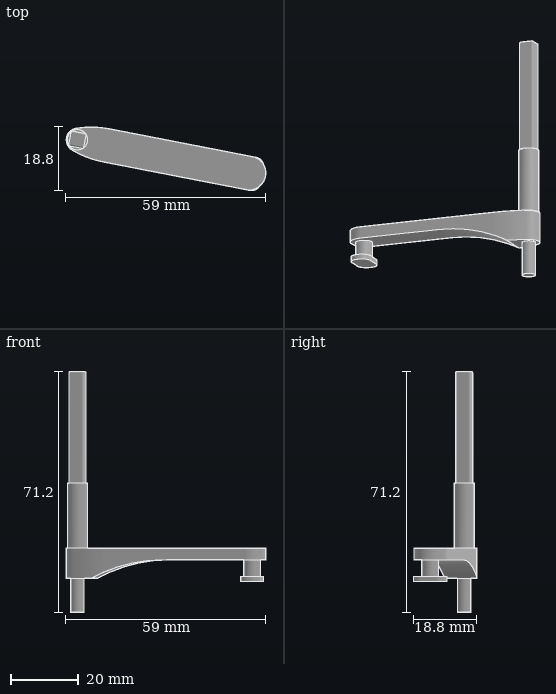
import math

import cadquery as cq

ARM_ANGLE = -11.0
ARM_WIDTH = 10.0
ARM_THICKNESS = 3.5
ARM_END_CENTRE = 51.65

HUB_DEPTH = 9.0
HUB_RADIUS = 3.5
HUB_CENTRE = 0.2
HUB_TAPER = 18.5
HUB_BLEND_RADIUS = 28.5
UNDERSIDE_RADIUS = 45.0
UNDERSIDE_END = 26.6

PIN_DIAMETER = 4.0
PIN_LENGTH = 10.0
SHAFT_DIAMETER = 6.0
SHAFT_LENGTH = 19.2
BAR_WIDTH = 4.5
BAR_LENGTH = 33.0
BAR_FILLET = 0.5

POST_CENTRE = 52.6
POST_DIAMETER = 5.0
POST_LENGTH = 4.9
FOOT_LENGTH = 6.0
FOOT_WIDTH = 10.0
FOOT_THICKNESS = 1.5
FOOT_CORNER_RADIUS = 2.75


def arm_outline():
    """Plan outline: round hub, tapered widening, blend, straight sides, round end."""
    taper = math.radians(HUB_TAPER)
    half_width = ARM_WIDTH / 2
    hub_tip = HUB_CENTRE - HUB_RADIUS
    taper_start_x = HUB_CENTRE - HUB_RADIUS * math.sin(taper)
    taper_start_y = HUB_RADIUS * math.cos(taper)
    corner_x = taper_start_x + (half_width - taper_start_y) / math.tan(taper)
    tangent_length = HUB_BLEND_RADIUS * math.tan(taper / 2)
    blend_start_x = corner_x - tangent_length * math.cos(taper)
    blend_start_y = half_width - tangent_length * math.sin(taper)
    blend_end_x = corner_x + tangent_length
    blend_mid_x = blend_end_x - HUB_BLEND_RADIUS * math.sin(taper / 2)
    blend_mid_y = half_width - HUB_BLEND_RADIUS * (1 - math.cos(taper / 2))
    return (
        cq.Workplane("XY")
        .moveTo(taper_start_x, -taper_start_y)
        .lineTo(blend_start_x, -blend_start_y)
        .threePointArc((blend_mid_x, -blend_mid_y), (blend_end_x, -half_width))
        .lineTo(ARM_END_CENTRE, -half_width)
        .threePointArc((ARM_END_CENTRE + half_width, 0), (ARM_END_CENTRE, half_width))
        .lineTo(blend_end_x, half_width)
        .threePointArc((blend_mid_x, blend_mid_y), (blend_start_x, blend_start_y))
        .lineTo(taper_start_x, taper_start_y)
        .threePointArc((hub_tip, 0), (taper_start_x, -taper_start_y))
        .close()
    )


def underside_cutter():
    """Space below the thin arm, bounded toward the hub by a concave arc."""
    arc_centre_z = -ARM_THICKNESS - UNDERSIDE_RADIUS
    rise = -HUB_DEPTH - arc_centre_z
    arc_start_x = UNDERSIDE_END - math.sqrt(UNDERSIDE_RADIUS**2 - rise**2)
    mid_angle = math.asin((UNDERSIDE_END - arc_start_x) / UNDERSIDE_RADIUS) / 2
    arc_mid = (
        UNDERSIDE_END - UNDERSIDE_RADIUS * math.sin(mid_angle),
        arc_centre_z + UNDERSIDE_RADIUS * math.cos(mid_angle),
    )
    beyond_end = ARM_END_CENTRE + ARM_WIDTH
    return (
        cq.Workplane("XZ")
        .moveTo(arc_start_x, -HUB_DEPTH)
        .threePointArc(arc_mid, (UNDERSIDE_END, -ARM_THICKNESS))
        .lineTo(beyond_end, -ARM_THICKNESS)
        .lineTo(beyond_end, -HUB_DEPTH)
        .close()
        .extrude(ARM_WIDTH, both=True)
    )


def make_arm():
    return arm_outline().extrude(-HUB_DEPTH).cut(underside_cutter())


def make_spindle():
    """Lower pin, round shaft and square bar on one axis."""
    pin = cq.Workplane("XY").workplane(offset=-HUB_DEPTH).circle(PIN_DIAMETER / 2).extrude(-PIN_LENGTH)
    shaft = cq.Workplane("XY").circle(SHAFT_DIAMETER / 2).extrude(SHAFT_LENGTH)
    bar = (
        cq.Workplane("XY")
        .workplane(offset=SHAFT_LENGTH)
        .rect(BAR_WIDTH, BAR_WIDTH)
        .extrude(BAR_LENGTH)
        .edges("|Z or >Z")
        .fillet(BAR_FILLET)
    )
    return pin, shaft, bar


def make_post_and_foot():
    """Round post under the arm end, carrying a rounded rectangular foot."""
    post = (
        cq.Workplane("XY", origin=(POST_CENTRE, 0, -ARM_THICKNESS))
        .circle(POST_DIAMETER / 2)
        .extrude(-POST_LENGTH)
    )
    foot = (
        cq.Workplane("XY", origin=(POST_CENTRE, 0, -ARM_THICKNESS - POST_LENGTH))
        .rect(FOOT_LENGTH, FOOT_WIDTH)
        .extrude(-FOOT_THICKNESS)
        .edges("|Z")
        .fillet(FOOT_CORNER_RADIUS)
    )
    return post, foot


body = make_arm()
for piece in (*make_spindle(), *make_post_and_foot()):
    body = body.union(piece)

result = body.rotate((0, 0, 0), (0, 0, 1), ARM_ANGLE)